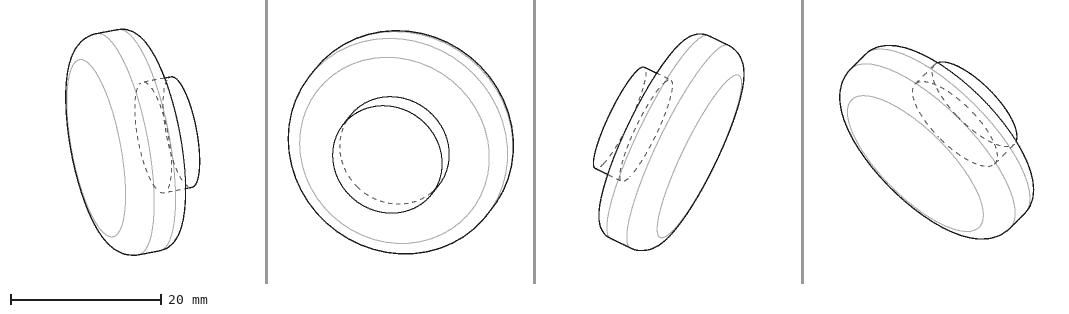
import cadquery as cq

total_depth = 12.0
disc_diameter = 30.0
disc_thickness = 8.0
boss_diameter = 15.0
boss_length = total_depth - disc_thickness
front_rim_radius = 3.0
back_rim_radius = 2.0


def cylinder_along_y(diameter, length, start_y):
    """Cylinder on the Y axis, running from start_y toward +Y."""
    base = cq.Workplane("XZ", origin=(0, start_y, 0))
    return base.circle(diameter / 2).extrude(-length)


disc = cylinder_along_y(disc_diameter, disc_thickness, 0)
disc = disc.faces("<Y").edges().fillet(front_rim_radius)
disc = disc.faces(">Y").edges().fillet(back_rim_radius)

boss = cylinder_along_y(boss_diameter, boss_length, disc_thickness)

result = disc.union(boss)